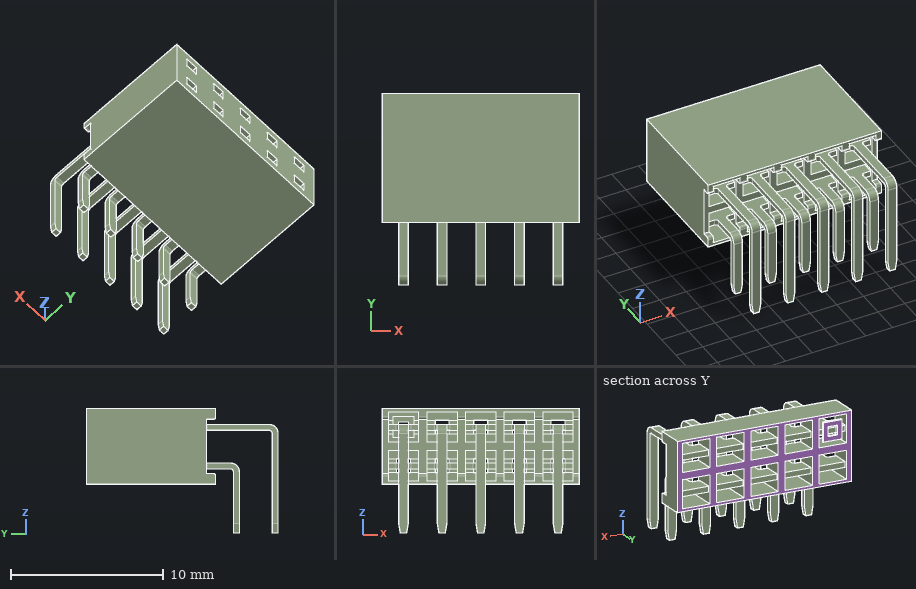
import cadquery as cq


columns = 5
pitch = 2.54

body_width = 12.95
body_depth = 8.5
body_height = 5.0
notch_depth = 0.6
lip_height = 0.73
lip_radius = 0.15

cell_size = 2.0
cell_depth = 5.18
slot_height = 0.9
window_width = 0.9
mating_wall = 0.52

sleeve_size = 1.39
sleeve_bore = 0.65

pin_width = 0.65
pin_thickness = 0.4
bend_radius = 0.6
overall_depth = 12.6
overall_height = 8.2
tip_length = 0.65
tip_width = 0.43
tab_front = 0.76
tab_length = 1.3
pin_offset = 0.02
tab_fillet = 0.18

column_places = [(i - (columns - 1) / 2) * pitch for i in range(columns)]
lower_row = (body_height - pitch) / 2
upper_row = lower_row + pitch
reach = overall_depth - body_depth
pin_drop = overall_height - body_height
tab_back = tab_front + tab_length
slot_end = body_depth - mating_wall
marked_cell = (column_places[0], upper_row)


def block(x, z, width, height, y_start, y_end):
    """Box centred on (x, z) that runs from y_start to y_end."""
    length = y_end - y_start
    return cq.Workplane("XY").box(width, length, height).translate((x, y_start + length / 2, z))


def make_housing():
    """Block with a full-width notch in the pin side, leaving a rounded lip above and below."""
    body = block(0, body_height / 2, body_width, body_height, 0, body_depth)
    notch_height = body_height - 2 * lip_height
    notch = block(0, body_height / 2, body_width, notch_height, 0, notch_depth)
    lip_edges = cq.selectors.BoxSelector(
        (-body_width, -lip_radius, lip_height / 2),
        (body_width, lip_radius, body_height - lip_height / 2),
    )
    return body.cut(notch).edges("|X").edges(lip_edges).fillet(lip_radius)


def make_cell(x, z):
    """Space removed for one contact: square pocket, contact slot and mating window."""
    pocket = block(x, z, cell_size, cell_size, 0, cell_depth)
    slot = block(x, z, cell_size, slot_height, cell_depth, slot_end)
    window = block(x, z, window_width, slot_height, slot_end, body_depth)
    return pocket.union(slot).union(window)


def make_contact(x, z, overhang):
    """Flat tab across the cell with a pin that leaves it, bends down and tapers to its tip."""
    top = z + pin_thickness / 2
    inner_radius = bend_radius - pin_thickness
    tab_middle = tab_front + tab_length / 2
    side = (
        cq.Workplane("YZ")
        .moveTo(tab_middle, top)
        .lineTo(bend_radius - overhang, top)
        .radiusArc((-overhang, top - bend_radius), -bend_radius)
        .lineTo(-overhang, -pin_drop)
        .lineTo(pin_thickness - overhang, -pin_drop)
        .lineTo(pin_thickness - overhang, top - bend_radius)
        .radiusArc((bend_radius - overhang, top - pin_thickness), inner_radius)
        .lineTo(tab_middle, top - pin_thickness)
        .close()
        .extrude(pin_width / 2, both=True)
    )
    tip_top = tip_length - pin_drop
    front_outline = (
        cq.Workplane("XZ")
        .moveTo(-pin_width / 2, top)
        .lineTo(-pin_width / 2, tip_top)
        .lineTo(-tip_width / 2, -pin_drop)
        .lineTo(tip_width / 2, -pin_drop)
        .lineTo(pin_width / 2, tip_top)
        .lineTo(pin_width / 2, top)
        .close()
        .extrude(body_depth, both=True)
    )
    pin = side.intersect(front_outline).translate((x, 0, 0))
    tab = block(x, z, cell_size, pin_thickness, tab_front, tab_back)
    corners = cq.selectors.BoxSelector(
        (x - pin_width, tab_front - tab_fillet, z - pin_thickness),
        (x + pin_width, tab_front + tab_fillet, z + pin_thickness),
    )
    return pin.union(tab).edges("|Z").edges(corners).fillet(tab_fillet)


def make_sleeve(x, z):
    """Square tube from the back of the contact tab to the mating wall."""
    outside = block(x, z, sleeve_size, sleeve_size, tab_back, slot_end)
    bore = block(x, z, sleeve_bore, sleeve_bore, tab_back, slot_end)
    return outside.cut(bore)


result = make_housing()
for row_height, overhang in ((lower_row, reach - pitch), (upper_row, reach)):
    for column_x in column_places:
        result = result.cut(make_cell(column_x, row_height))
        result = result.union(make_contact(column_x, row_height - pin_offset, overhang))
result = result.union(make_sleeve(*marked_cell))